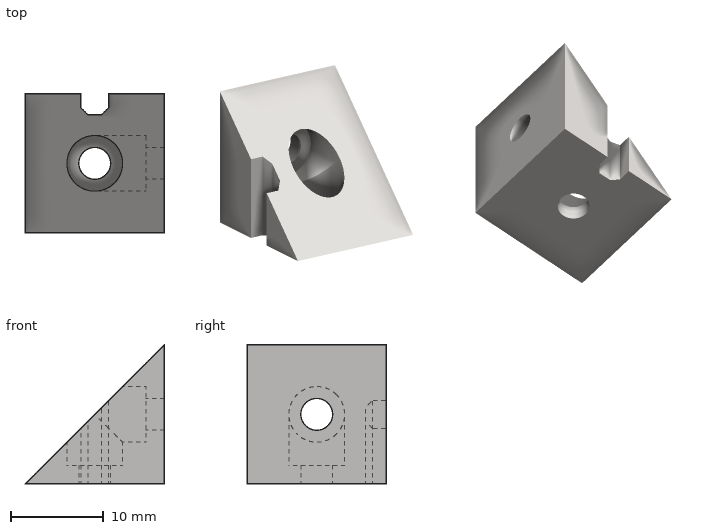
import cadquery as cq

size = 15.0
middle = size / 2

screw_diameter = 3.4
head_diameter = 6.0
leg_thickness = 2.0

slot_width = 3.0
slot_depth = 2.25
slot_chamfer = 0.75


def wedge():
    """Right-triangle prism with its square corner at +X, -Z."""
    profile = cq.Workplane("XZ").polyline([(0, 0), (size, 0), (size, size)]).close()
    return profile.extrude(-size)


def vertical_screw_cutter():
    """Screw hole through the bottom leg and the head pocket above it."""
    hole = cq.Workplane("XY").center(middle, middle).circle(screw_diameter / 2).extrude(size)
    pocket = (
        cq.Workplane("XY", origin=(middle, middle, leg_thickness))
        .circle(head_diameter / 2)
        .extrude(size - leg_thickness)
    )
    return hole.union(pocket)


def horizontal_screw_cutter():
    """The same screw hole and head pocket, entering the +X leg from the slope."""
    hole = cq.Workplane("YZ").center(middle, middle).circle(screw_diameter / 2).extrude(size)
    pocket = cq.Workplane("YZ").center(middle, middle).circle(head_diameter / 2).extrude(size - leg_thickness)
    return hole.union(pocket)


def slot_cutter():
    """Full-height slot running down the +Y face."""
    return (
        cq.Workplane("XY")
        .center(middle, size - slot_depth / 2)
        .rect(slot_width, slot_depth)
        .extrude(size)
        .edges("|Z and <Y")
        .chamfer(slot_chamfer)
    )


result = (
    wedge()
    .cut(vertical_screw_cutter())
    .cut(horizontal_screw_cutter())
    .cut(slot_cutter())
)